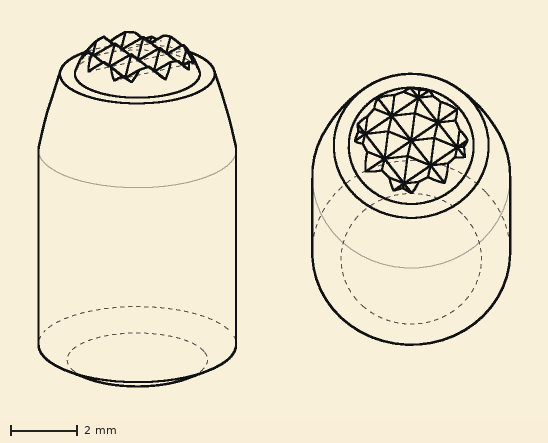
import cadquery as cq
import math

total_height = 10.3
body_diameter = 6.0
chamfer_height = 0.5
chamfer_angle = 60.0
taper_start = 6.88
shoulder_height = 9.37
shoulder_radius = 2.35
taper_bulge = 0.04
dome_base_radius = 1.9
dome_radius = 1.98
tooth_pitch = 1.0
groove_positions = (-tooth_pitch, 0, tooth_pitch)

body_radius = body_diameter / 2
bottom_radius = body_radius - chamfer_height * math.tan(math.radians(chamfer_angle))
tooth_depth = tooth_pitch / 2
dome_center_z = shoulder_height - math.sqrt(dome_radius**2 - dome_base_radius**2)
dome_top_radius = math.sqrt(dome_radius**2 - (total_height - dome_center_z) ** 2)


def point_on_dome(z):
    return math.sqrt(dome_radius**2 - (z - dome_center_z) ** 2), z


def bowed_midpoint(start, end, bulge):
    """Middle of an arc that bows away from the axis by the given height."""
    dr = end[0] - start[0]
    dz = end[1] - start[1]
    length = math.hypot(dr, dz)
    return (
        (start[0] + end[0]) / 2 + bulge * dz / length,
        (start[1] + end[1]) / 2 - bulge * dr / length,
    )


def make_body():
    """Turned pin: chamfered foot, bowed taper and flat-topped dome."""
    taper_bottom = (body_radius, taper_start)
    taper_top = (shoulder_radius, shoulder_height)
    return (
        cq.Workplane("XZ")
        .lineTo(bottom_radius, 0)
        .lineTo(body_radius, chamfer_height)
        .lineTo(*taper_bottom)
        .threePointArc(bowed_midpoint(taper_bottom, taper_top, taper_bulge), taper_top)
        .lineTo(dome_base_radius, shoulder_height)
        .threePointArc(
            point_on_dome((shoulder_height + total_height) / 2),
            (dome_top_radius, total_height),
        )
        .lineTo(0, total_height)
        .close()
        .revolve(360, (0, 0), (0, 1))
    )


def make_groove(plane, position):
    """V-groove across the whole tip, widened above the tip by its 45 degree walls."""
    valley_z = total_height - tooth_depth
    return (
        cq.Workplane(plane)
        .moveTo(position, valley_z)
        .lineTo(position + tooth_pitch, valley_z + tooth_pitch)
        .lineTo(position - tooth_pitch, valley_z + tooth_pitch)
        .close()
        .extrude(body_radius, both=True)
    )


result = make_body()
for groove_plane in ("XZ", "YZ"):
    for groove_position in groove_positions:
        result = result.cut(make_groove(groove_plane, groove_position))